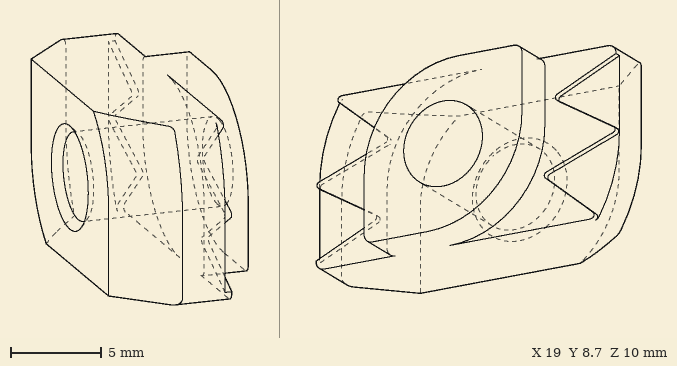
import cadquery as cq
import math

length = 19.01
width = 10.0
head_depth = 6.1
end_bevel = 3.2
corner_radius = 0.5

neck_size = 10.0
neck_depth = 2.6
neck_round = 6.0

hole_diameter = 5.0
countersink_diameter = 6.0

tooth_depth = 0.4
tooth_radius = 0.2
upper_valley = (-5.44, 2.55)
middle_tip = (-9.71, -0.02)
lower_valley = (-4.77, -1.87)
upper_flank_angle = 65.0
lower_flank_angle = 50.0
tooth_overrun_x = -11.0

half_length = length / 2
half_width = width / 2
half_neck = neck_size / 2
arc_end_x = math.sqrt(half_length**2 - half_width**2)
total_depth = head_depth + neck_depth
shank_depth = head_depth - tooth_depth
hole_radius = hole_diameter / 2
countersink_radius = countersink_diameter / 2
pick_margin = 0.1


def plan_at(y):
    """Sketch plane at height y with local axes +X and +Z; a positive extrusion runs towards -Y."""
    return cq.Workplane("XZ", origin=(0, y, 0))


def around(x, z, margin=pick_margin):
    """Select edges centred within a margin of (x, z), at any Y."""
    low = (x - margin, -total_depth, z - margin)
    high = (x + margin, 2 * total_depth, z + margin)
    return cq.selectors.BoxSelector(low, high)


def half_turn(solid):
    """Copy turned half way round the hole axis."""
    return solid.rotate((0, 0, 0), (0, 1, 0), 180)


def leaf_prism(half_size_x, half_size_z, arc_centre, back_y, depth):
    """Rectangle with two opposite corners swept away by arcs tangent to its X ends.

    The arc on the +X end is centred on arc_centre (x, z); the other is its half-turn copy.
    """
    centre_x, centre_z = arc_centre
    arc_radius = half_size_x - centre_x
    sweep = math.asin((half_size_z - centre_z) / arc_radius)
    end_x = centre_x + arc_radius * math.cos(sweep)
    mid_x = centre_x + arc_radius * math.cos(sweep / 2)
    mid_z = centre_z + arc_radius * math.sin(sweep / 2)
    return (
        plan_at(back_y)
        .moveTo(-half_size_x, half_size_z)
        .lineTo(end_x, half_size_z)
        .threePointArc((mid_x, mid_z), (half_size_x, centre_z))
        .lineTo(half_size_x, -half_size_z)
        .lineTo(-end_x, -half_size_z)
        .threePointArc((-mid_x, -mid_z), (-half_size_x, -centre_z))
        .close()
        .extrude(depth)
    )


def head_plate(back_y, depth):
    """Slab of the head with its four corners rounded; the end arcs are centred on the hole axis."""
    corners = (
        around(-half_length, half_width)
        + around(arc_end_x, half_width)
        + around(half_length, -half_width)
        + around(-arc_end_x, -half_width)
    )
    plate = leaf_prism(half_length, half_width, (0, 0), back_y, depth)
    return plate.edges("|Y").edges(corners).fillet(corner_radius)


def shank():
    """Front part of the head, its flat and round ends bevelled at 45 degrees."""
    end_z = half_width - pick_margin
    end_edges = cq.selectors.BoxSelector(
        (-length, -pick_margin, -end_z),
        (length, pick_margin, end_z),
    )
    bevelled = (
        leaf_prism(half_length, half_width, (0, 0), shank_depth, shank_depth)
        .edges(end_edges)
        .chamfer(end_bevel)
    )
    return bevelled.intersect(head_plate(shank_depth, shank_depth))


def tooth_notch():
    """Two rounded valleys with a rounded tip between them, open towards -X."""
    upper_run = upper_valley[0] - tooth_overrun_x
    lower_run = lower_valley[0] - tooth_overrun_x
    upper_end_z = upper_valley[1] + upper_run / math.tan(math.radians(upper_flank_angle))
    lower_end_z = lower_valley[1] - lower_run / math.tan(math.radians(lower_flank_angle))
    outline = [
        (tooth_overrun_x, upper_end_z),
        upper_valley,
        middle_tip,
        lower_valley,
        (tooth_overrun_x, lower_end_z),
    ]
    rounded = around(*upper_valley) + around(*middle_tip) + around(*lower_valley)
    notch = plan_at(head_depth).polyline(outline).close().extrude(tooth_depth)
    return notch.edges("|Y").edges(rounded).fillet(tooth_radius)


def toothed_layer():
    """Back layer of the head with the teeth cut into both ends, the tips beside the swept corners rounded."""
    notch = tooth_notch()
    layer = head_plate(head_depth, tooth_depth)
    layer = layer.cut(notch).cut(half_turn(notch))
    margin = corner_radius / 2
    outer_tips = around(arc_end_x, half_width, margin) + around(-arc_end_x, -half_width, margin)
    return layer.edges("|Y").edges(outer_tips).fillet(tooth_radius)


def neck():
    """Square neck with two opposite corners swept by large arcs and two slightly rounded."""
    square_corners = around(-half_neck, half_neck) + around(half_neck, -half_neck)
    centre = half_neck - neck_round
    block = leaf_prism(half_neck, half_neck, (centre, centre), total_depth, neck_depth)
    return block.edges("|Y").edges(square_corners).fillet(corner_radius)


def hole():
    """Through hole and its 45 degree countersink, revolved about the Y axis."""
    countersink_depth = countersink_radius - hole_radius
    return (
        cq.Workplane("XY")
        .lineTo(countersink_radius, 0)
        .lineTo(hole_radius, countersink_depth)
        .lineTo(hole_radius, total_depth)
        .lineTo(0, total_depth)
        .close()
        .revolve(360, (0, 0, 0), (0, 1, 0))
    )


result = shank().union(toothed_layer()).union(neck()).cut(hole())